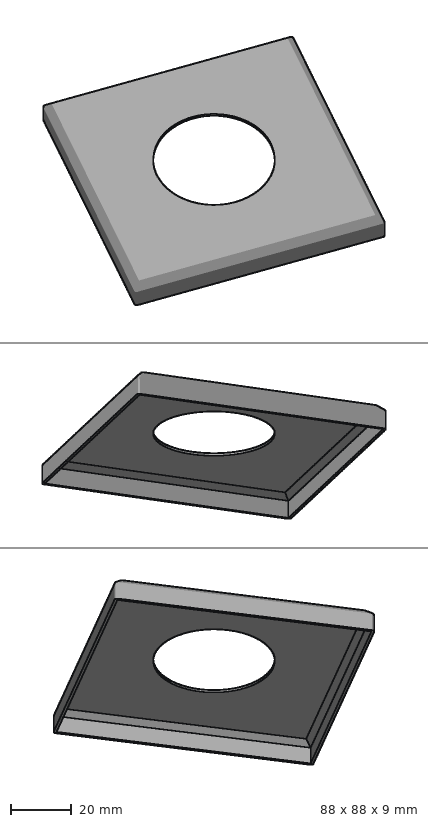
import cadquery as cq
import math

side = 88.0
height = 9.0
wall = 1.0
bevel = 2.55
edge_radius = 1.0
hole_diameter = 40.0

inner_bevel = bevel - wall * (2 - math.sqrt(2))


def bevelled_block(width, block_height, bevel_size):
    """Square block standing on Z = 0 with a 45 degree bevel around its top."""
    block = cq.Workplane("XY").rect(width, width).extrude(block_height)
    return block.faces(">Z").chamfer(bevel_size)


def outer_body():
    """Bevelled block with every edge rounded except those of the base."""
    block = bevelled_block(side, height, bevel)
    return block.edges(cq.selectors.InverseSelector(cq.StringSyntaxSelector("<Z"))).fillet(edge_radius)


cavity = bevelled_block(side - 2 * wall, height - wall, inner_bevel)

hole = cq.Workplane("XY").circle(hole_diameter / 2).extrude(height)

result = outer_body().cut(cavity).cut(hole)